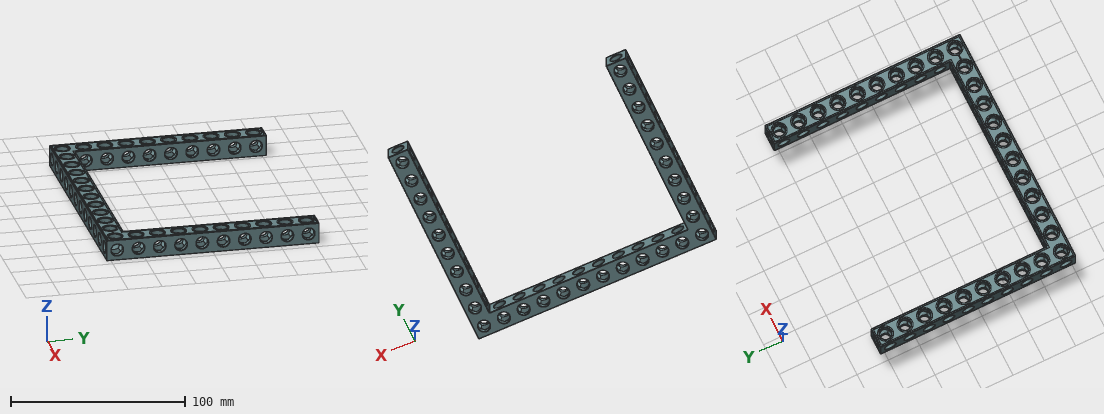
import cadquery as cq

pitch = 12.5
crossbar_holes = 12
leg_holes = 10
bore_diameter = 7.0
collar_diameter = 9.2
edge_chamfer = 0.3
rim_width = 0.8
pocket_depth = 0.2
rib_width = 0.4

width = crossbar_holes * pitch
depth = leg_holes * pitch
half_pitch = pitch / 2
bore_radius = bore_diameter / 2
mouth_radius = bore_radius + edge_chamfer
rim_inset = edge_chamfer + rim_width
pocket_floor = pitch - pocket_depth
last_column = crossbar_holes - 1
right_leg_start = width - pitch

AXIS_X = cq.Vector(1, 0, 0)
AXIS_Y = cq.Vector(0, 1, 0)
AXIS_Z = cq.Vector(0, 0, 1)


def hole_centre(index):
    """Distance of a hole axis from the end of its row."""
    return half_pitch + index * pitch


def u_prism(inset, base, height):
    """U-shaped prism whose outline lies inside the frame outline by the inset."""
    inner_left = pitch - inset
    inner_right = right_leg_start + inset
    outline = [
        (inset, inset),
        (width - inset, inset),
        (width - inset, depth - inset),
        (inner_right, depth - inset),
        (inner_right, pitch - inset),
        (inner_left, pitch - inset),
        (inner_left, depth - inset),
        (inset, depth - inset),
    ]
    return cq.Workplane("XY", origin=(0, 0, base)).polyline(outline).close().extrude(height)


def vertical_hole_centres():
    """XY centres of the Z bores: the whole crossbar, then both legs beyond it."""
    crossbar = [(hole_centre(i), half_pitch) for i in range(crossbar_holes)]
    legs = [
        (hole_centre(column), hole_centre(row))
        for column in (0, last_column)
        for row in range(1, leg_holes)
    ]
    return crossbar + legs


def collars():
    """Discs that stay standing in the pocket around the Z bores."""
    return [
        cq.Solid.makeCylinder(collar_diameter / 2, pocket_depth, cq.Vector(x, y, pocket_floor), AXIS_Z)
        for x, y in vertical_hole_centres()
    ]


def collar_rib():
    """Narrow bridge in the pocket between the last two collars of the crossbar."""
    corner = cq.Vector(hole_centre(last_column - 1), half_pitch - rib_width / 2, pocket_floor)
    return cq.Solid.makeBox(pitch, rib_width, pocket_depth, corner)


def top_pocket():
    """Shallow pocket in the top face, inside the rim and around the collars and the rib."""
    return u_prism(rim_inset, pocket_floor, pocket_depth).val().cut(*collars(), collar_rib())


def bore(start, axis, length):
    """Cutter for one straight bore with a chamfered mouth at each end."""
    end = start + axis * length
    shaft = cq.Solid.makeCylinder(bore_radius, length, start, axis)
    first_mouth = cq.Solid.makeCone(mouth_radius, bore_radius, edge_chamfer, start, axis)
    last_mouth = cq.Solid.makeCone(mouth_radius, bore_radius, edge_chamfer, end, axis * -1)
    return shaft.fuse(first_mouth, last_mouth)


def vertical_bores():
    """Bores along Z through every cell of the frame."""
    return [bore(cq.Vector(x, y, 0), AXIS_Z, pitch) for x, y in vertical_hole_centres()]


def lengthwise_bores():
    """Bores along Y through the crossbar; the end two run the full length of the legs."""
    bores = []
    for column in range(crossbar_holes):
        length = depth if column in (0, last_column) else pitch
        bores.append(bore(cq.Vector(hole_centre(column), 0, half_pitch), AXIS_Y, length))
    return bores


def crosswise_bores():
    """Bores along X: one through the whole crossbar, then one through each leg per row."""
    bores = [bore(cq.Vector(0, half_pitch, half_pitch), AXIS_X, width)]
    for row in range(1, leg_holes):
        for leg_start in (0, right_leg_start):
            start = cq.Vector(leg_start, hole_centre(row), half_pitch)
            bores.append(bore(start, AXIS_X, pitch))
    return bores


frame = u_prism(0, 0, pitch).edges().chamfer(edge_chamfer).val()
frame = frame.cut(top_pocket())
frame = frame.cut(*vertical_bores())
for cutter in lengthwise_bores() + crosswise_bores():
    frame = frame.cut(cutter)

result = cq.Workplane(frame.Solids()[0])